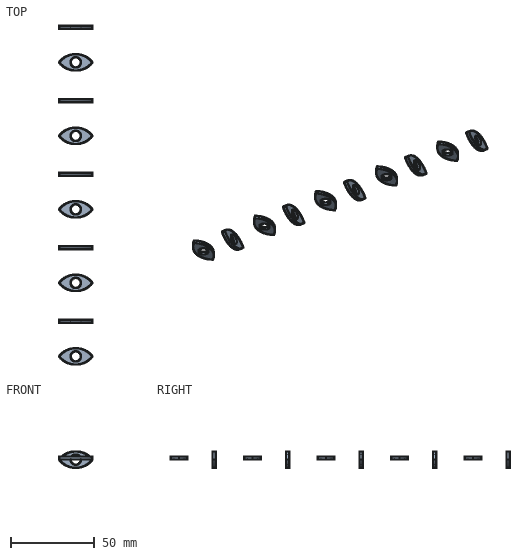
import cadquery as cq

plate_length = 20.0
plate_width = 10.0
plate_thickness = 2.0
hole_diameter = 6.0

pair_count = 5
plate_pitch = 22.0
pair_pitch = 2 * plate_pitch


def lens_plate(plane):
    """One lens plate with a central through hole, extruded along the plane's normal."""
    half_length = plate_length / 2
    half_width = plate_width / 2
    outline = (
        cq.Workplane(plane)
        .moveTo(-half_length, 0)
        .threePointArc((0, half_width), (half_length, 0))
        .threePointArc((0, -half_width), (-half_length, 0))
        .close()
    )
    blank = outline.extrude(plate_thickness)
    hole = cq.Workplane(plane).circle(hole_diameter / 2).extrude(plate_thickness)
    return blank.cut(hole)


def flat_plate(y):
    """Plate lying flat, centred at y, with its underside at Z = 0."""
    return lens_plate("XY").translate((0, y, 0))


def upright_plate(y):
    """Plate standing on edge, centred on Z = 0, with its +Y face at y."""
    return lens_plate("XZ").translate((0, y, 0))


plates = []
for pair in range(pair_count):
    pair_start = pair * pair_pitch
    plates.append(flat_plate(pair_start).val())
    plates.append(upright_plate(pair_start + plate_pitch).val())

result = cq.Compound.makeCompound(plates)